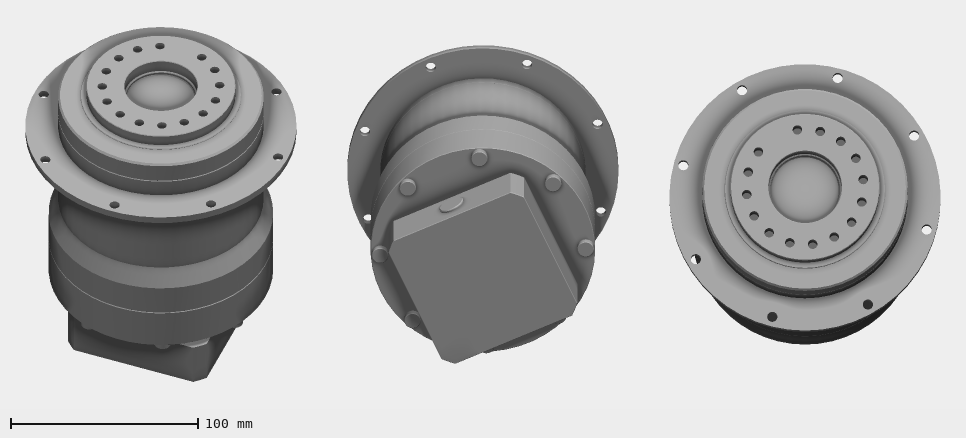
import cadquery as cq
import math

total_height = 169.5
block_top = 25.1
adapter_bottom = 36.3
main_bottom = 59.8
cone_bottom = 77.6
cone_top = 88.1
flange_housing_bottom = 131.2
flange_bottom = 136.5
flange_top = 140.5
cover_bottom = 150.7
cover_top = 162.5
shoulder_top = 163.0

flange_radius = 145.0 / 2
housing_radius = 55.0
lower_radius = 60.0
neck_radius = 32.5
output_radius = 39.8
shoulder_radius = 43.0

edge_break = 0.3
cover_chamfer = 1.0
neck_chamfer = 0.5

bore_radius = 19.5
bore_depth = 7.1
bore_floor_radius = 18.5
bore_floor_depth = 9.2
bore_floor_chamfer = 0.5

output_hole_places = 16
output_hole_circle = 31.4
output_hole_radius = 2.5
output_hole_depth = 8.5
empty_place_angle = 90.0

flange_hole_count = 8
flange_hole_circle = 67.3
flange_hole_radius = 2.7

block_side = 2 * output_radius
block_corner_radius = 52.5

screw_count = 8
screw_circle = 55.0
screw_head_radius = 4.4
screw_head_height = 3.5

plug_radius = 7.0
plug_height = 1.4
plug_center_z = 13.7
plug_chamfer = 0.5


def disc(radius, bottom, top):
    """Upright cylinder on the part's axis."""
    return cq.Workplane("XY").workplane(offset=bottom).circle(radius).extrude(top - bottom)


def countersink(radius, top):
    """Cone that breaks the upper edge of a bore of the given radius."""
    return cq.Workplane("XY").add(
        cq.Solid.makeCone(radius, radius + edge_break, edge_break, cq.Vector(0, 0, top - edge_break))
    )


def ring_places(radius, angles):
    """Points on a circle about the axis at the given angles in degrees."""
    return [
        (radius * math.cos(math.radians(a)), radius * math.sin(math.radians(a)))
        for a in angles
    ]


def make_output_flange():
    shoulder = disc(shoulder_radius, cover_bottom, shoulder_top).faces(">Z").chamfer(edge_break)
    head = disc(output_radius, shoulder_top, total_height).faces(">Z").chamfer(edge_break)
    body = shoulder.union(head)

    bore = disc(bore_radius, total_height - bore_depth, total_height)
    ledge_height = total_height - bore_depth
    bore_floor = disc(bore_floor_radius, total_height - bore_floor_depth, ledge_height)
    bore_floor = bore_floor.faces("<Z").chamfer(bore_floor_chamfer)
    body = body.cut(bore).cut(bore_floor)
    body = body.cut(countersink(bore_radius, total_height)).cut(countersink(bore_floor_radius, ledge_height))

    step = 360.0 / output_hole_places
    angles = [i * step for i in range(output_hole_places) if i * step != empty_place_angle]
    holes = (
        cq.Workplane("XY")
        .workplane(offset=total_height - output_hole_depth)
        .pushPoints(ring_places(output_hole_circle, angles))
        .circle(output_hole_radius)
        .extrude(output_hole_depth)
    )
    return body.cut(holes)


def make_cover_ring():
    body = disc(housing_radius, cover_bottom, cover_top)
    body = body.faces(">Z").chamfer(cover_chamfer).faces("<Z").chamfer(edge_break)
    return body.cut(disc(shoulder_radius, cover_bottom, cover_top))


def make_flange_housing():
    barrel = disc(housing_radius, flange_housing_bottom, cover_bottom)
    barrel = barrel.faces("<Z or >Z").chamfer(edge_break)
    step = 360.0 / flange_hole_count
    holes = (
        cq.Workplane("XY")
        .workplane(offset=flange_bottom)
        .pushPoints(ring_places(flange_hole_circle, [i * step for i in range(flange_hole_count)]))
        .circle(flange_hole_radius)
        .extrude(flange_top - flange_bottom)
    )
    return barrel.union(disc(flange_radius, flange_bottom, flange_top).cut(holes))


def make_main_housing():
    profile = [
        (0, main_bottom),
        (lower_radius - edge_break, main_bottom),
        (lower_radius, main_bottom + edge_break),
        (lower_radius, cone_bottom),
        (housing_radius, cone_top),
        (housing_radius, flange_housing_bottom - edge_break),
        (housing_radius - edge_break, flange_housing_bottom),
        (0, flange_housing_bottom),
    ]
    return cq.Workplane("XZ").polyline(profile).close().revolve(360, (0, 0, 0), (0, 1, 0))


def make_motor_block():
    block = cq.Workplane("XY").rect(block_side, block_side).extrude(block_top)
    block = block.intersect(disc(block_corner_radius, 0, block_top))
    block = block.faces("<Z").chamfer(edge_break)
    plug = (
        cq.Workplane("XZ", origin=(0, block_side / 2, plug_center_z))
        .circle(plug_radius)
        .extrude(-plug_height)
        .faces(">Y")
        .chamfer(plug_chamfer)
    )
    return block.union(plug)


def make_screw_heads():
    step = 360.0 / screw_count
    angles = [(i + 0.5) * step for i in range(screw_count)]
    return (
        cq.Workplane("XY")
        .workplane(offset=adapter_bottom - screw_head_height)
        .pushPoints(ring_places(screw_circle, angles))
        .circle(screw_head_radius)
        .extrude(screw_head_height)
        .faces("<Z")
        .chamfer(edge_break)
    )


def make_motor_adapter():
    plate = disc(lower_radius, adapter_bottom, main_bottom).faces("<Z or >Z").chamfer(edge_break)
    neck = disc(neck_radius, block_top, adapter_bottom).faces("<Z or >Z").chamfer(neck_chamfer)
    return plate.union(neck).union(make_motor_block()).union(make_screw_heads())


output_flange = make_output_flange()
cover_ring = make_cover_ring()
flange_housing = make_flange_housing()
main_housing = make_main_housing()
motor_adapter = make_motor_adapter()

result = cq.Compound.makeCompound([
    output_flange.val(),
    cover_ring.val(),
    flange_housing.val(),
    main_housing.val(),
    motor_adapter.val(),
])